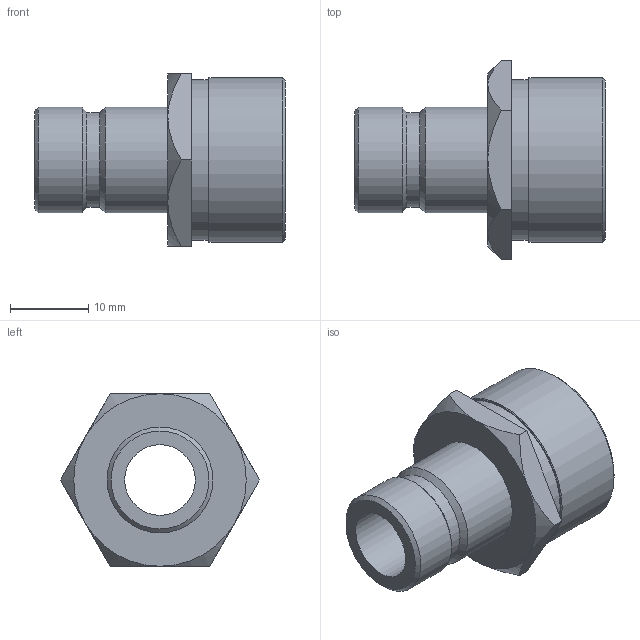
import cadquery as cq
import math

total_length = 32.0
groove_start = 6.05
groove_floor_start = 6.65
groove_floor_end = 8.3
groove_end = 9.0
hex_start = 17.0
hex_width = 3.0
hex_end = hex_start + hex_width
collar_start = 22.15

plug_diameter = 13.5
groove_diameter = 12.05
hex_sides = 6
across_flats = 22.0
neck_diameter = 20.5
collar_diameter = 21.0
bore_diameter = 9.0

plug_chamfer = 0.5
collar_end_chamfer = 0.4
collar_front_chamfer = 0.1
hex_chamfer_angle = 45.0


def revolve_about_x(profile):
    """Revolve a closed list of (x, radius) points about the X axis."""
    return cq.Workplane("XY").polyline(profile).close().revolve(360, (0, 0, 0), (1, 0, 0))


def make_plug():
    """Chamfered tube with a locking groove, running into the hexagon."""
    radius = plug_diameter / 2
    groove_radius = groove_diameter / 2
    return revolve_about_x([
        (0, 0),
        (0, radius - plug_chamfer),
        (plug_chamfer, radius),
        (groove_start, radius),
        (groove_floor_start, groove_radius),
        (groove_floor_end, groove_radius),
        (groove_end, radius),
        (hex_end, radius),
        (hex_end, 0),
    ])


def make_hexagon():
    """Wrench hexagon with flats facing +Z and -Z, corners chamfered on the plug side."""
    corner_diameter = across_flats / math.cos(math.pi / hex_sides)
    prism = (
        cq.Workplane("YZ", origin=(hex_start, 0, 0))
        .polygon(hex_sides, corner_diameter)
        .extrude(hex_width)
    )
    face_radius = across_flats / 2
    cone_rise = hex_width * math.tan(math.radians(hex_chamfer_angle))
    chamfer_cone = revolve_about_x([
        (hex_start, 0),
        (hex_start, face_radius),
        (hex_end, face_radius + cone_rise),
        (hex_end, 0),
    ])
    return prism.intersect(chamfer_cone)


def make_collar():
    """Relief neck behind the hexagon and the larger collar with broken edges."""
    neck_radius = neck_diameter / 2
    radius = collar_diameter / 2
    return revolve_about_x([
        (hex_end, 0),
        (hex_end, neck_radius),
        (collar_start, neck_radius),
        (collar_start, radius - collar_front_chamfer),
        (collar_start + collar_front_chamfer, radius),
        (total_length - collar_end_chamfer, radius),
        (total_length, radius - collar_end_chamfer),
        (total_length, 0),
    ])


def make_bore():
    """Through bore along the X axis."""
    return cq.Workplane("YZ").circle(bore_diameter / 2).extrude(total_length)


result = make_plug().union(make_hexagon()).union(make_collar()).cut(make_bore())